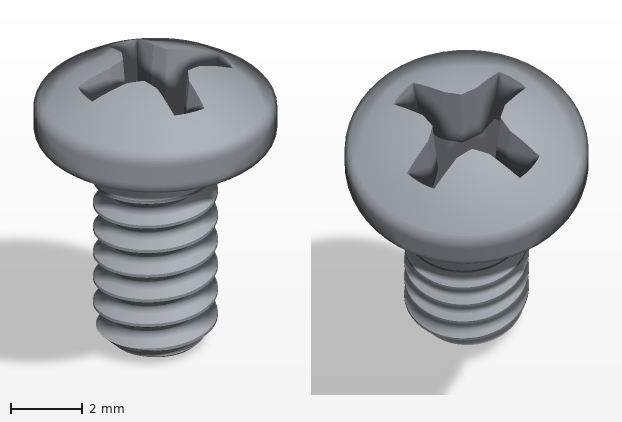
import cadquery as cq
import math

total_height = 8.72
head_diameter = 6.86
head_radius = head_diameter / 2
head_underside = 6.35
edge_radius = 0.44
head_shoulder = 7.36
dome_radius = 5.37

major_diameter = 3.51
major_radius = major_diameter / 2
minor_radius = 1.26
pitch = 0.79
crest_width = 0.1
flank_angle = 30.0
first_crest = 0.575
root_overlap = 0.09
envelope_margin = 0.09
seam_angle = 77.0
head_overlap = 0.175

recess_floor = 6.68
floor_reach = 1.81
floor_half_width = 0.32
floor_arm_root = 1.125
floor_core_corner = 0.57
top_reach = 2.355
top_half_width = 0.51
top_arm_root = 1.15
top_core_corner = 0.68
taper_extension = 2.0
inner_edge_radius = 0.09


def make_head():
    """Domed head whose rim fillet runs tangentially into the dome."""
    rim_center = head_radius - edge_radius
    dome_angle = math.asin(rim_center / (dome_radius - edge_radius))
    dome_center = head_shoulder - (dome_radius - edge_radius) * math.cos(dome_angle)

    def dome_point(angle):
        return dome_radius * math.sin(angle), dome_center + dome_radius * math.cos(angle)

    def rim_point(angle):
        return rim_center + edge_radius * math.sin(angle), head_shoulder + edge_radius * math.cos(angle)

    lower_center = head_underside + edge_radius
    diagonal = edge_radius * math.sqrt(0.5)
    return (
        cq.Workplane("XZ")
        .moveTo(0, head_underside)
        .lineTo(rim_center, head_underside)
        .threePointArc((rim_center + diagonal, lower_center - diagonal), (head_radius, lower_center))
        .lineTo(head_radius, head_shoulder)
        .threePointArc(rim_point((dome_angle + math.pi / 2) / 2), rim_point(dome_angle))
        .threePointArc(dome_point(dome_angle / 2), dome_point(0))
        .close()
        .revolve(360, (0, 0), (0, 1))
    )


def make_shank():
    """Right-handed thread on a core, with a 45 degree point at the bottom."""
    shank_top = head_underside + head_overlap
    helix_start = first_crest - 2 * pitch
    helix_length = math.ceil((shank_top - helix_start) / pitch) * pitch
    slope = math.tan(math.radians(flank_angle))
    inner_radius = minor_radius - root_overlap
    crest_half = crest_width / 2
    base_half = crest_half + (major_radius - inner_radius) * slope

    helix = cq.Wire.makeHelix(pitch, helix_length, minor_radius).translate(cq.Vector(0, 0, helix_start))
    ridge = (
        cq.Workplane("XZ")
        .polyline([
            (inner_radius, helix_start - base_half),
            (major_radius, helix_start - crest_half),
            (major_radius, helix_start + crest_half),
            (inner_radius, helix_start + base_half),
        ])
        .close()
        .sweep(cq.Workplane(obj=helix), isFrenet=True)
    )
    core = (
        cq.Workplane("XY")
        .workplane(offset=helix_start)
        .circle(minor_radius)
        .extrude(shank_top - helix_start)
        .rotate((0, 0, 0), (0, 0, 1), seam_angle)
    )
    outer_radius = major_radius + envelope_margin
    envelope = (
        cq.Workplane("XZ")
        .polyline([
            (0, 0),
            (minor_radius, 0),
            (outer_radius, outer_radius - minor_radius),
            (outer_radius, shank_top),
            (0, shank_top),
        ])
        .close()
        .revolve(360, (0, 0), (0, 1))
    )
    return core.union(ridge).intersect(envelope)


def cross_outline(reach, half_width, arm_root, core_corner):
    """Corner points of a four-armed cross with a flared centre."""
    arm = [
        (reach, -half_width),
        (reach, half_width),
        (arm_root, half_width),
        (core_corner, core_corner),
        (half_width, arm_root),
    ]
    points = []
    for _ in range(4):
        points += arm
        arm = [(-y, x) for x, y in arm]
    return points


def make_recess():
    """Tapered cross with conical arm ends."""
    depth = total_height - recess_floor
    rise = taper_extension * depth

    def above(floor_size, top_size):
        return floor_size + (top_size - floor_size) * rise / depth

    upper_reach = above(floor_reach, top_reach)
    cross = (
        cq.Workplane("XY")
        .workplane(offset=recess_floor)
        .polyline(cross_outline(upper_reach, floor_half_width, floor_arm_root, floor_core_corner))
        .close()
        .workplane(offset=rise)
        .polyline(cross_outline(
            upper_reach,
            above(floor_half_width, top_half_width),
            above(floor_arm_root, top_arm_root),
            above(floor_core_corner, top_core_corner),
        ))
        .close()
        .loft(ruled=True)
    )
    inner_edges = [
        edge
        for edge in cross.edges("not #Z").vals()
        if math.hypot(edge.Center().x, edge.Center().y) < floor_reach
    ]
    cross = cross.newObject(inner_edges).fillet(inner_edge_radius)
    cone = cq.Workplane(obj=cq.Solid.makeCone(
        floor_reach, upper_reach, rise, cq.Vector(0, 0, recess_floor), cq.Vector(0, 0, 1)
    ))
    return cross.intersect(cone)


result = make_head().union(make_shank()).cut(make_recess())